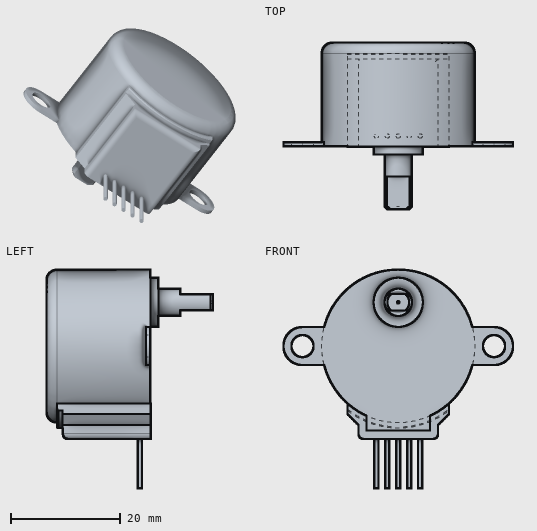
import cadquery as cq
import math


can_radius = 14.0
can_depth = 19.0
can_back_fillet = 2.0

ear_hole_offset = 17.5
ear_radius = 3.5
ear_thickness = 0.8
ear_hole_diameter = 4.0

shaft_z = 8.0
boss_diameter = 9.0
boss_height = 1.5
shaft_diameter = 5.0
shaft_length = 11.5
shaft_chamfer = 0.5
flat_length = 6.0
flat_thickness = 2.95
center_mark_diameter = 0.4
center_mark_depth = 0.5

housing_half_width = 9.3
housing_neck_half_width = 7.3
housing_shoulder_z = -12.4
housing_bottom_z = -17.0
housing_top_z = -math.sqrt(can_radius**2 - housing_half_width**2)
housing_neck_z = housing_shoulder_z - (housing_half_width - housing_neck_half_width)
housing_proud = 0.1
housing_depth = 16.0
housing_corner_radius = 1.0

lip_radius = can_radius + 1.0
lip_back = can_depth - can_back_fillet
lip_edge_fillet = 0.2

tab_half_width = 5.8
tab_bottom_z = -15.4

pin_count = 5
pin_pitch = 2.0
pin_diameter = 0.8
pin_y = 1.9
pin_tip_z = -26.0


def plane_at(y):
    """Plane facing -Y at the given Y, with local x along X and local y along Z."""
    return cq.Workplane("XZ", origin=(0, y, 0))


def disc(radius, front, back, z=0.0):
    """Cylinder along Y between two Y positions."""
    return plane_at(back).center(0, z).circle(radius).extrude(back - front)


def make_can():
    return disc(can_radius, 0, can_depth).faces(">Y").edges().fillet(can_back_fillet)


def make_ears():
    slot_length = 2 * (ear_hole_offset + ear_radius)
    return plane_at(ear_thickness).slot2D(slot_length, 2 * ear_radius).extrude(ear_thickness)


def cut_ear_holes(body):
    hole_points = [(-ear_hole_offset, 0), (ear_hole_offset, 0)]
    holes = (
        plane_at(ear_thickness)
        .pushPoints(hole_points)
        .circle(ear_hole_diameter / 2)
        .extrude(ear_thickness)
    )
    return body.cut(holes)


def make_shaft():
    shaft = disc(shaft_diameter / 2, -shaft_length, 0, shaft_z)
    shaft = shaft.faces("<Y").edges().chamfer(shaft_chamfer)
    flat_center_y = flat_length / 2 - shaft_length
    flat_center_offset = (flat_thickness + shaft_diameter) / 2
    for side in (-1, 1):
        cutter = cq.Workplane("XY").box(shaft_diameter, flat_length, shaft_diameter)
        cutter = cutter.translate((0, flat_center_y, shaft_z + side * flat_center_offset))
        shaft = shaft.cut(cutter)
    mark_bottom = center_mark_depth - shaft_length
    center_mark = disc(center_mark_diameter / 2, -shaft_length, mark_bottom, shaft_z)
    return shaft.cut(center_mark)


def housing_block(front, back):
    """Stepped housing outline, reaching up into the can, between two Y positions."""
    right_side = [
        (housing_half_width, housing_top_z),
        (housing_half_width, housing_shoulder_z),
        (housing_neck_half_width, housing_neck_z),
        (housing_neck_half_width, housing_bottom_z),
    ]
    left_side = [(-x, z) for x, z in reversed(right_side)]
    return plane_at(back).polyline(right_side + left_side).close().extrude(back - front)


def housing_side_profile():
    """Full-width block whose lower back edge is rounded."""
    width = 2 * housing_half_width
    depth = housing_proud + housing_depth
    height = -housing_bottom_z
    block = cq.Workplane("XY").box(width, depth, height, centered=(True, False, False))
    block = block.edges("<Z and >Y").fillet(housing_corner_radius)
    return block.translate((0, -housing_proud, housing_bottom_z))


def make_housing():
    housing = housing_block(-housing_proud, housing_depth)
    housing = housing.edges("|Y and <Z").fillet(housing_corner_radius)
    housing = housing.intersect(housing_side_profile())
    housing = housing.cut(disc(can_radius, -housing_proud, 0))
    tab_pocket = (
        plane_at(0)
        .center(0, tab_bottom_z / 2)
        .rect(2 * tab_half_width, -tab_bottom_z)
        .extrude(housing_proud)
    )
    return housing.cut(tab_pocket)


def make_lip():
    rounded_disc = disc(lip_radius, 0, lip_back).faces(">Y").edges().fillet(lip_edge_fillet)
    return rounded_disc.intersect(housing_block(0, lip_back))


def make_pins():
    first_x = -pin_pitch * (pin_count - 1) / 2
    pin_points = [(first_x + i * pin_pitch, pin_y) for i in range(pin_count)]
    return (
        cq.Workplane("XY", origin=(0, 0, pin_tip_z))
        .pushPoints(pin_points)
        .circle(pin_diameter / 2)
        .extrude(tab_bottom_z - pin_tip_z)
    )


result = make_can().union(make_ears())
result = cut_ear_holes(result)
result = result.union(disc(boss_diameter / 2, -boss_height, 0, shaft_z))
result = result.union(make_shaft())
result = result.union(make_housing())
result = result.union(make_lip())
result = result.union(make_pins())